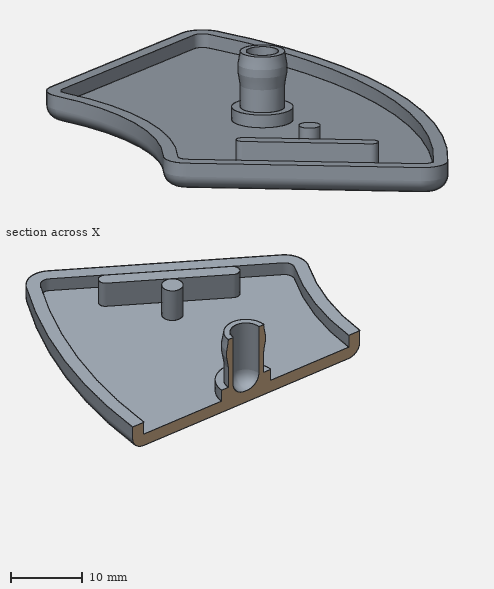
import cadquery as cq
import math

outer_radius = 80.0
inner_radius = 40.0
half_angle = 30.0
corner_radius = 3.5
plate_height = 4.0
bottom_fillet = 2.0
wall = 2.0
floor_thickness = 2.0

spigot_y = 60.0
total_height = 12.0
collar_diameter = 8.7
collar_top = 3.9
stem_diameter = 6.3
barb_diameter = 6.9
barb_taper = 1.85
barb_land = 1.15
bore_diameter = 4.5
bore_floor = floor_thickness
bore_fillet = 2.0

pin_diameter = 3.0
pin_x = 21.35
pin_y = 56.9
pin_top = 7.05

rib_x = 24.9
rib_y = 54.85
rib_length = 20.0
rib_width = 2.0
rib_top = 5.95


def sector(outer, inner, side_offset, corner, height):
    """Prism of an annular sector with its straight sides moved inwards by side_offset."""
    angle = math.radians(half_angle)

    def side_point(radius):
        reach = angle - math.asin(side_offset / radius)
        return radius * math.sin(reach), radius * math.cos(reach)

    outer_x, outer_y = side_point(outer)
    inner_x, inner_y = side_point(inner)
    return (
        cq.Workplane("XY")
        .moveTo(-outer_x, outer_y)
        .threePointArc((0, outer), (outer_x, outer_y))
        .lineTo(inner_x, inner_y)
        .threePointArc((0, inner), (-inner_x, inner_y))
        .close()
        .extrude(height)
        .edges("|Z")
        .fillet(corner)
    )


def make_tray():
    tray = sector(outer_radius, inner_radius, 0, corner_radius, plate_height)
    tray = tray.faces("<Z").edges().fillet(bottom_fillet)
    cavity = sector(
        outer_radius - wall, inner_radius + wall, wall, corner_radius - wall, plate_height
    )
    return tray.cut(cavity.translate((0, 0, floor_thickness)))


def make_spigot():
    base = floor_thickness / 2
    stem = stem_diameter / 2
    barb = barb_diameter / 2
    collar = collar_diameter / 2
    land_top = total_height - barb_taper
    land_bottom = land_top - barb_land
    barb_bottom = land_bottom - barb_taper
    profile = [
        (0, base),
        (collar, base),
        (collar, collar_top),
        (stem, collar_top),
        (stem, barb_bottom),
        (barb, land_bottom),
        (barb, land_top),
        (stem, total_height),
        (0, total_height),
    ]
    spigot = cq.Workplane("XZ").polyline(profile).close().revolve(360, (0, 0), (0, 1))
    return spigot.translate((0, spigot_y, 0))


def make_bore():
    radius = bore_diameter / 2
    bore = cq.Workplane("XY").circle(radius).extrude(total_height - bore_floor)
    bore = bore.faces("<Z").edges().fillet(bore_fillet)
    return bore.translate((0, spigot_y, bore_floor))


def make_pin():
    base = floor_thickness / 2
    pin = cq.Workplane("XY").circle(pin_diameter / 2).extrude(pin_top - base)
    return pin.translate((pin_x, pin_y, base))


def make_rib():
    base = floor_thickness / 2
    rib = cq.Workplane("XY").slot2D(rib_length, rib_width, 90 - half_angle).extrude(rib_top - base)
    return rib.translate((rib_x, rib_y, base))


result = make_tray().union(make_spigot()).union(make_pin()).union(make_rib()).cut(make_bore())